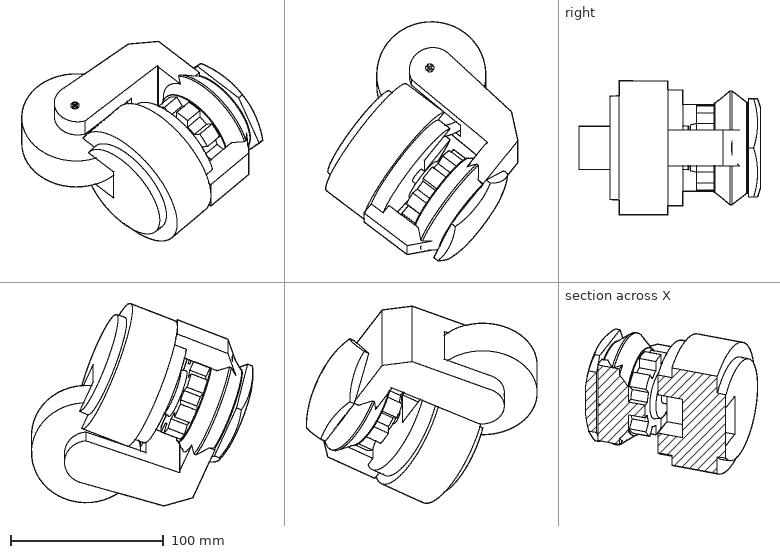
import cadquery as cq
import math


foot_diameter = 87.9
sole_top_diameter = 68.4
sole_bottom_diameter = 67.9
foot_ring_diameter = 76.0
sole_top = 6.0
foot_top = 37.9
foot_ring_top = 47.7
foot_slot_edge_x = -8.0

stem_diameter = 10.0
collar_top_diameter = 32.0
collar_bottom_diameter = 30
collar_bottom = 52.6
knob_bottom = 56.5
knob_tip_diameter = 55.9
knob_root_diameter = 42.2
knob_tooth_width = 10.0
knob_tooth_count = 8

hub_bottom = 68.1
hub_top = 90
hub_bottom_diameter = 58.6
hub_rim_diameter = 74.7
hub_top_diameter = 60
hub_rim_bottom = 78.5
hub_rim_top = 79.9
hub_end_band = 0.5

nut_bottom = 90.6
nut_top = 98.7
nut_across_flats = 64.6
nut_across_corners = nut_across_flats / math.cos(math.pi / 6)
nut_crown_diameter = 52.3
nut_crown_drop_at_flats = 2.0
nut_crown_drop_at_corners = 4.6
spacer_diameter = 42.2

wheel_diameter = 71.5
wheel_width = 28.3
wheel_x = -56.5
wheel_y = 15.4
wheel_clearance = 0.4

fork_width = 57.0
fork_tip_radius = 15.1
fork_tip_y = 16.5
fork_arc_start = (-71.5, 19.8)
fork_shoulder = (-66.1, 74.7)
fork_top_corner_x = -53.3
fork_end_x = -16.2
fork_inner_corner_x = -40.0
fork_arc_end = (-42.9, 9.5)
bridge_bottom = 74.5
bridge_step_x = -39.1
bridge_step_height = 0.4

axle_y = 14.2
axle_diameter = 5.5
axle_cross_width = 1.0
axle_recess_depth = 0.3

arm_width = 23.5
arm_inner_x = 29.8
arm_outer_x = foot_diameter / 2
arm_top_corner_x = 25.5
arm_shoulder_y = 73.9


def cylinder_y(diameter, y_start, y_end):
    """Solid cylinder on the foot axis."""
    return cq.Workplane("XZ", origin=(0, y_start, 0)).circle(diameter / 2).extrude(y_start - y_end)


def cone_y(start_diameter, end_diameter, y_start, y_end):
    """Solid truncated cone on the foot axis."""
    outline = (
        cq.Workplane("XY")
        .moveTo(0, y_start)
        .lineTo(start_diameter / 2, y_start)
        .lineTo(end_diameter / 2, y_end)
        .lineTo(0, y_end)
    )
    return revolve_y(outline)


def revolve_y(half_outline):
    """Open half outline, ending on the foot axis, closed and turned around that axis."""
    return half_outline.close().revolve(360, (0, 0), (0, 1))


def plate_xy(outline, width):
    """Closed outline in XY, thickened evenly on both sides of Z = 0."""
    return outline.close().extrude(width / 2, both=True)


def make_foot():
    foot = cone_y(sole_bottom_diameter, sole_top_diameter, 0, sole_top)
    foot = foot.union(cylinder_y(foot_diameter, sole_top, foot_top))
    foot = foot.union(cylinder_y(foot_ring_diameter, foot_top, foot_ring_top))
    slot = cq.Workplane("XY").box(
        foot_diameter, foot_ring_top, wheel_width, centered=(False, False, True)
    )
    return foot.cut(slot.translate((foot_slot_edge_x - foot_diameter, 0, 0)))


def make_stem():
    stem = cylinder_y(stem_diameter, sole_top, knob_bottom)
    collar = cone_y(collar_bottom_diameter, collar_top_diameter, collar_bottom, knob_bottom)
    return stem.union(collar)


def make_knob():
    height = hub_bottom - knob_bottom
    teeth = cylinder_y(knob_root_diameter, knob_bottom, hub_bottom)
    for index in range(knob_tooth_count // 2):
        bar = cq.Workplane("XY").box(knob_tip_diameter, height, knob_tooth_width)
        bar = bar.rotate((0, 0, 0), (0, 1, 0), index * 360 / knob_tooth_count)
        teeth = teeth.union(bar.translate((0, knob_bottom + height / 2, 0)))
    return teeth.intersect(cylinder_y(knob_tip_diameter, knob_bottom, hub_bottom))


def make_hub():
    outline = (
        cq.Workplane("XY")
        .moveTo(0, hub_bottom)
        .lineTo(hub_bottom_diameter / 2, hub_bottom)
        .lineTo(hub_bottom_diameter / 2, hub_bottom + hub_end_band)
        .lineTo(hub_rim_diameter / 2, hub_rim_bottom)
        .lineTo(hub_rim_diameter / 2, hub_rim_top)
        .lineTo(hub_top_diameter / 2, hub_top - hub_end_band)
        .lineTo(hub_top_diameter / 2, hub_top)
        .lineTo(0, hub_top)
    )
    return revolve_y(outline)


def make_nut():
    hexagon = (
        cq.Workplane("XZ", origin=(0, nut_bottom, 0))
        .polygon(6, nut_across_corners)
        .extrude(nut_bottom - nut_top)
    )
    dome_outline = (
        cq.Workplane("XY")
        .moveTo(0, nut_bottom)
        .lineTo(nut_across_corners / 2, nut_bottom)
        .lineTo(nut_across_corners / 2, nut_top - nut_crown_drop_at_corners)
        .threePointArc(
            (nut_across_flats / 2, nut_top - nut_crown_drop_at_flats),
            (nut_crown_diameter / 2, nut_top),
        )
        .lineTo(0, nut_top)
    )
    nut = hexagon.intersect(revolve_y(dome_outline))
    return nut.union(cylinder_y(spacer_diameter, hub_top, nut_bottom))


def make_fork():
    outline = (
        cq.Workplane("XY")
        .moveTo(*fork_arc_start)
        .lineTo(*fork_shoulder)
        .lineTo(fork_top_corner_x, hub_top)
        .lineTo(fork_end_x, hub_top)
        .lineTo(fork_end_x, bridge_bottom)
        .lineTo(bridge_step_x, bridge_bottom)
        .lineTo(bridge_step_x, bridge_bottom + bridge_step_height)
        .lineTo(fork_inner_corner_x, bridge_bottom + bridge_step_height)
        .lineTo(*fork_arc_end)
        .threePointArc((wheel_x, fork_tip_y - fork_tip_radius), fork_arc_start)
    )
    fork = plate_xy(outline, fork_width)
    slot_top = wheel_y + wheel_diameter / 2 + wheel_clearance
    slot = cq.Workplane("XY").box(wheel_diameter, wheel_diameter, wheel_width)
    return fork.cut(slot.translate((wheel_x, slot_top - wheel_diameter / 2, 0)))


def make_wheel():
    return (
        cq.Workplane("XY", origin=(wheel_x, wheel_y, -wheel_width / 2))
        .circle(wheel_diameter / 2)
        .extrude(wheel_width)
    )


def make_axle_recesses():
    """Quarter-disc recesses, separated by a cross, on the outer face of the upper prong."""
    recess_floor = fork_width / 2 - axle_recess_depth
    face = cq.Workplane("XY", origin=(wheel_x, axle_y, recess_floor))
    disc = face.circle(axle_diameter / 2).extrude(axle_recess_depth)
    for length, height in ((axle_diameter, axle_cross_width), (axle_cross_width, axle_diameter)):
        disc = disc.cut(face.rect(length, height).extrude(axle_recess_depth))
    return disc


def make_arm():
    outline = (
        cq.Workplane("XY")
        .moveTo(0, hub_top)
        .lineTo(arm_top_corner_x, hub_top)
        .lineTo(arm_outer_x, arm_shoulder_y)
        .lineTo(arm_outer_x, foot_top)
        .lineTo(arm_inner_x, foot_top)
        .lineTo(arm_inner_x, bridge_bottom)
        .lineTo(0, bridge_bottom)
    )
    return plate_xy(outline, arm_width)


result = make_hub()
for body in (make_foot(), make_stem(), make_knob(), make_nut(), make_fork(), make_wheel(), make_arm()):
    result = result.union(body)
result = result.cut(make_axle_recesses())